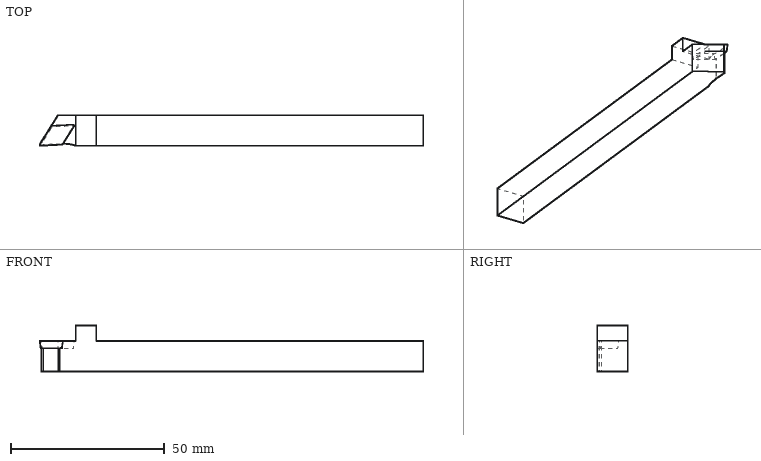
import cadquery as cq
import math

length = 124.6
shank_size = 10.0
total_height = 15.0
block_start = 11.7
block_end = 18.5

insert_side = 7.7
insert_thickness = 2.4
insert_angle = 55.0
lead_angle = 3.0
relief_angle = 7.0
nose_radius = 0.4

flank_start_x = 0.5
tip_bevel_x = 1.1
tip_bevel_y = 0.5
step_x = 6.1
step_end_x = 6.5
front_y = 0.7
step_end_y = 0.6
curve_start_x = 8.4

flank_angle = math.radians(lead_angle + insert_angle)
front_angle = math.radians(lead_angle)
bisector = (flank_angle + front_angle) / 2
nose_offset = nose_radius / math.sin(math.radians(insert_angle / 2))
corner_x = nose_radius - nose_offset * math.cos(bisector)
corner_y = nose_radius - nose_offset * math.sin(bisector)


def flank_x(y):
    """X on the slanted flank shared by the holder and the insert."""
    return corner_x + (y - corner_y) / math.tan(flank_angle)


def flank_y(x):
    """Y on the same flank."""
    return corner_y + (x - corner_x) * math.tan(flank_angle)


def make_insert():
    front_dx = insert_side * math.cos(front_angle)
    front_dy = insert_side * math.sin(front_angle)
    flank_dx = insert_side * math.cos(flank_angle)
    flank_dy = insert_side * math.sin(flank_angle)
    corners = [
        (corner_x, corner_y),
        (corner_x + front_dx, corner_y + front_dy),
        (corner_x + front_dx + flank_dx, corner_y + front_dy + flank_dy),
        (corner_x + flank_dx, corner_y + flank_dy),
    ]
    outline = cq.Sketch().polygon(corners + corners[:1]).vertices().fillet(nose_radius)
    return (
        cq.Workplane("XY", origin=(0, 0, shank_size))
        .placeSketch(outline)
        .extrude(-insert_thickness, taper=relief_angle)
    )


def make_neck():
    run = block_start - curve_start_x
    curve_radius = (run**2 + step_end_y**2) / (2 * step_end_y)
    half_sweep = math.asin(run / curve_radius) / 2
    curve_middle = (
        curve_start_x + curve_radius * math.sin(half_sweep),
        step_end_y - curve_radius * (1 - math.cos(half_sweep)),
    )
    return (
        cq.Workplane("XY")
        .moveTo(flank_x(shank_size), shank_size)
        .lineTo(flank_start_x, flank_y(flank_start_x))
        .lineTo(tip_bevel_x, tip_bevel_y)
        .lineTo(step_x, front_y)
        .lineTo(step_end_x, step_end_y)
        .lineTo(curve_start_x, step_end_y)
        .threePointArc(curve_middle, (block_start, 0))
        .lineTo(block_start, shank_size)
        .close()
        .extrude(shank_size)
    )


def make_holder(insert):
    shank = cq.Workplane("XY").box(length - block_start, shank_size, shank_size, centered=False)
    block = cq.Workplane("XY").box(block_end - block_start, shank_size, total_height, centered=False)
    body = shank.union(block).translate((block_start, 0, 0)).union(make_neck())
    return body.cut(insert)


insert = make_insert()
holder = make_holder(insert)
result = cq.Compound.makeCompound([holder.val(), insert.val()])